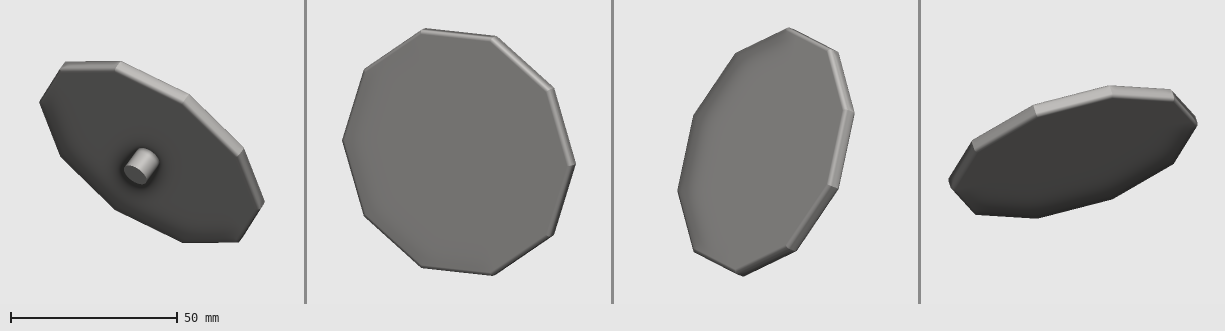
import cadquery as cq

side_count = 10
corner_diameter = 77.3
overall_depth = 12.05
plate_thickness = 4.5
edge_radius = 1.15
pin_diameter = 7.95

pin_length = overall_depth - plate_thickness


def make_plate():
    """Ten-sided plate with its front face on Y = 0, rounded along both rims."""
    plate = cq.Workplane("XZ").polygon(side_count, corner_diameter).extrude(-plate_thickness)
    return plate.faces("<Y or >Y").edges().fillet(edge_radius)


def make_pin():
    """Central round pin standing on the front face, toward -Y."""
    return cq.Workplane("XZ").circle(pin_diameter / 2).extrude(pin_length)


result = make_plate().union(make_pin())